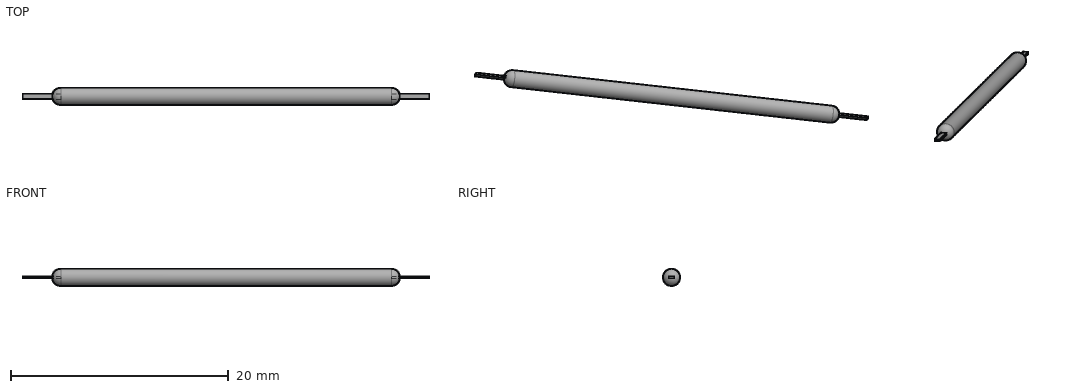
import cadquery as cq

overall_length = 37.4
capsule_length = 32.0
capsule_diameter = 1.6

lead_width = 0.5
lead_thickness = 0.2
lead_embedment = 0.8

capsule_radius = capsule_diameter / 2
straight_length = capsule_length - capsule_diameter
lead_length = (overall_length - capsule_length) / 2 + lead_embedment
lead_center_x = (overall_length - lead_length) / 2


def make_lead(side):
    """Flat strip along X at one end; side is -1 or +1."""
    return (
        cq.Workplane("XY")
        .box(lead_length, lead_width, lead_thickness)
        .translate((side * lead_center_x, 0, 0))
    )


def make_capsule(leads):
    """Round rod along X with hemispherical ends, with a slot for each lead."""
    half_straight = straight_length / 2
    half_capsule = capsule_length / 2
    dome_mid = capsule_radius * 0.5 ** 0.5
    capsule = (
        cq.Workplane("XY")
        .moveTo(-half_capsule, 0)
        .threePointArc((-half_straight - dome_mid, dome_mid), (-half_straight, capsule_radius))
        .lineTo(half_straight, capsule_radius)
        .threePointArc((half_straight + dome_mid, dome_mid), (half_capsule, 0))
        .close()
        .revolve(360, (0, 0, 0), (1, 0, 0))
    )
    for lead in leads:
        capsule = capsule.cut(lead)
    return capsule


leads = [make_lead(side) for side in (-1, 1)]
capsule = make_capsule(leads)

result = cq.Compound.makeCompound([capsule.val(), *[lead.val() for lead in leads]])